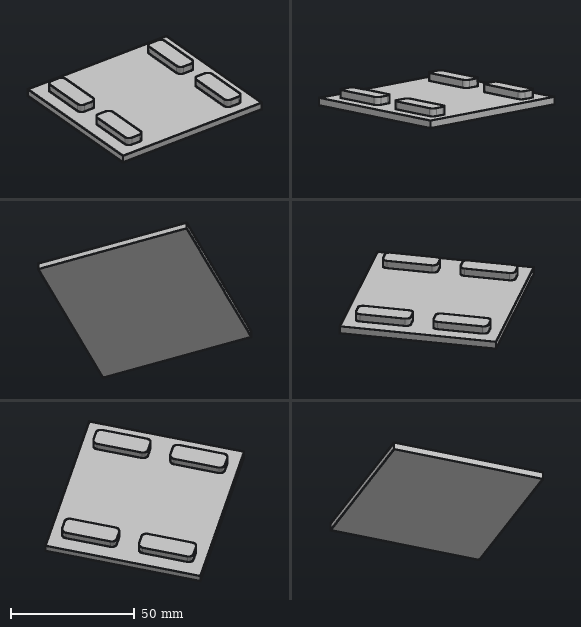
import cadquery as cq

plate_length_x = 64.95
plate_length_y = 70.0
plate_thickness = 3.2

total_height = 6.5
pad_height = total_height - plate_thickness
pad_length = 22.8
pad_width = 7.85
pad_corner_radius = 2.0
pad_spacing_x = 32.2
pad_spacing_y = 50.0

plate = cq.Workplane("XY").box(
    plate_length_x, plate_length_y, plate_thickness, centered=(True, True, False)
)

pads = (
    cq.Workplane("XY", origin=(0, 0, plate_thickness))
    .rarray(pad_spacing_x, pad_spacing_y, 2, 2)
    .rect(pad_length, pad_width)
    .extrude(pad_height)
    .edges("|Z")
    .fillet(pad_corner_radius)
)

result = plate.union(pads)